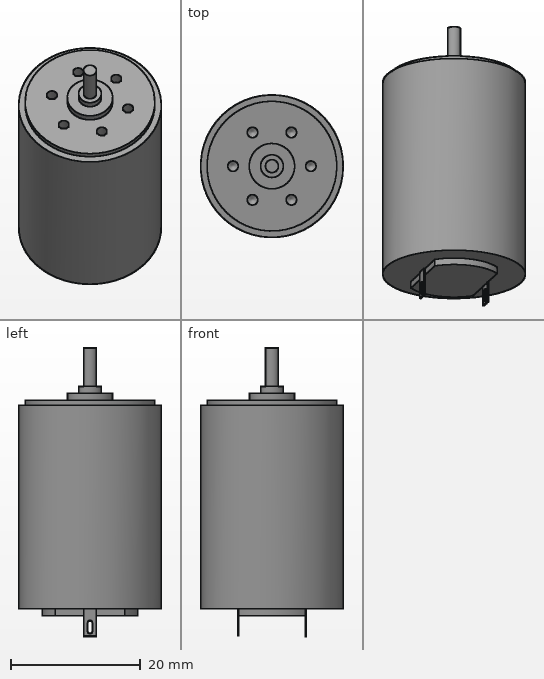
import cadquery as cq
import math


case_diameter = 22.0
case_length = 31.4

flange_diameter = 20.0
flange_height = 0.8
boss_diameter = 7.0
boss_height = 1.05
collar_diameter = 3.5
collar_height = 1.05
shaft_diameter = 2.0
shaft_length = 5.95

hole_count = 6
hole_diameter = 1.6
hole_circle_diameter = 12.0
hole_depth = 2.0
drill_point_angle = 118.0

insulator_diameter = 14.8
insulator_width = 10.2
insulator_height = 1.05

terminal_width = 2.0
terminal_thickness = 0.2
left_terminal_length = 4.15
right_terminal_length = 4.25
slot_width = 0.7
slot_length = 2.0
slot_end_margin = 0.4

flange_top = case_length + flange_height


def stepped_body():
    """Case with the front steps stacked on its top face."""
    body = cq.Workplane("XY").circle(case_diameter / 2).extrude(case_length)
    steps = [
        (flange_diameter, flange_height),
        (boss_diameter, boss_height),
        (collar_diameter, collar_height),
        (shaft_diameter, shaft_length),
    ]
    for diameter, height in steps:
        body = body.faces(">Z").workplane().circle(diameter / 2).extrude(height)
    return body


def mounting_holes():
    """Drill-shaped cutters, evenly spaced on the hole circle."""
    radius = hole_diameter / 2
    point_height = radius / math.tan(math.radians(drill_point_angle / 2))
    drill = (
        cq.Workplane("XZ")
        .lineTo(radius, 0)
        .lineTo(radius, -hole_depth)
        .lineTo(0, -hole_depth - point_height)
        .close()
        .revolve(360, (0, 0, 0), (0, 1, 0))
        .translate((hole_circle_diameter / 2, 0, flange_top))
    )
    cutters = cq.Workplane("XY")
    for index in range(hole_count):
        cutters = cutters.add(drill.rotate((0, 0, 0), (0, 0, 1), index * 360 / hole_count))
    return cutters.combine()


def rear_insulator():
    """Disc below the case, trimmed to two flats facing -X and +X."""
    disc = cq.Workplane("XY").circle(insulator_diameter / 2).extrude(-insulator_height)
    trim = cq.Workplane("XY").rect(insulator_width, insulator_diameter).extrude(-insulator_height)
    return disc.intersect(trim)


def terminal(side, length):
    """Slotted tab on the flat at the given side (-1 for -X, +1 for +X)."""
    center_x = side * (insulator_width + terminal_thickness) / 2
    slot_center_z = slot_end_margin + slot_length / 2 - length
    tab = (
        cq.Workplane("XY")
        .center(center_x, 0)
        .rect(terminal_thickness, terminal_width)
        .extrude(-length)
    )
    slot = (
        cq.Workplane("YZ")
        .center(0, slot_center_z)
        .slot2D(slot_length, slot_width, 90)
        .extrude(terminal_thickness, both=True)
        .translate((center_x, 0, 0))
    )
    return tab.cut(slot)


result = (
    stepped_body()
    .cut(mounting_holes())
    .union(rear_insulator())
    .union(terminal(-1, left_terminal_length))
    .union(terminal(1, right_terminal_length))
)